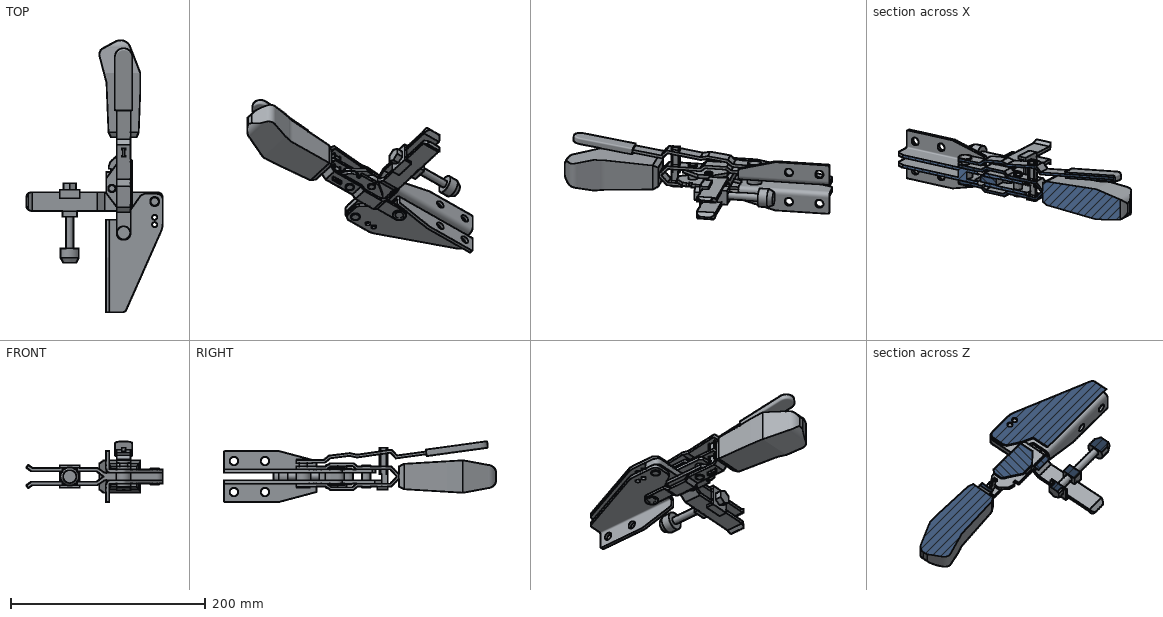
import cadquery as cq
import math


plate_t = 3.6
arm_strap_t = 3.6
plate_outer = arm_strap_t + plate_t
strap_t = 3.0
lever_half_w = 7.3

base_left, base_right = -18.2, 40.5
base_bottom, base_top = -82.0, 40.0
flange_top = 13.7
bend_inner_r = 1.7
flange_short, flange_tall = 16.0, 26.5
corner_r = 6.2
flange_corner_r = 1.7
foot_x, foot_r = 1.7, 4.5
slant_top_y, slant_r = 5.3, 19.5
mount_hole_r, mount_hole_z = 4.2, 16.0
mount_hole_y = (-39.5, -71.5)
spare_hole_r = 2.5
spare_hole_y = (8.5, 16.0)
arm_pin_x, arm_pin_y, arm_pin_r = 32.0, 32.3, 4.8
rivet_head_h, rivet_edge = 1.0, 0.5
handle_pin_r, handle_pin_head_r, spacer_r = 4.2, 6.7, 7.5
lever_seat_z = 15.1

arm_bottom, arm_top = 22.5, 42.0
arm_left = -100.5
fork_inner = 5.3
fork_start, fork_end = -27.5, -20.0
tip_bend_x = -94.5
tip_x, tip_rise = -99.3, 3.5
tip_corner_r = 6.2
lug_r = 5.5

spindle_x, spindle_r = -55.5, 4.0
saddle_half_w, saddle_half_h, saddle_t = 10.5, 11.8, 2.5
saddle_leg_bottom = 35.5
head_flats, head_h = 13.2, 6.7
nut_half_w, nut_half_h, nut_bottom = 7.5, 7.5, 16.5
neck_half_h, neck_top = 5.0, 27.2
tip_r, tip_nose_r = 9.5, 6.7
tip_top, tip_shoulder, tip_end = -16.0, -25.5, -30.9

link_left, link_right, link_bottom = -18.0, 9.0, 27.2
arm_rivet_x, arm_rivet_y, arm_rivet_r = -12.0, 45.7, 4.0
yoke_rivet_y, yoke_rivet_r = 64.8, 4.5

grip_face_y = 98.5
grip_half_h = 16.8
grip_reach = 28.0
yoke_near_z = plate_outer + strap_t / 2
yoke_far_z = 12.3

lever_tail_y, lever_tail_z = 188.2, 32.8
lever_dip_y, lever_dip_z = 96.0, 20.2
sleeve_start_y, sleeve_wall, sleeve_t, sleeve_edge_r = 126.5, 1.7, 7.0, 1.7
latch_back, latch_front, latch_low_front = 87.0, 78.3, 80.5
latch_foot_front = 76.0
latch_top, latch_notch_z, latch_foot_bottom = 29.7, 2.5, -13.5
latch_web_t, latch_bead_w, latch_bead_t = 2.2, 4.2, 1.5


def box(x0, x1, y0, y1, z0, z1):
    return cq.Workplane("XY").box(x1 - x0, y1 - y0, z1 - z0, centered=False).translate((x0, y0, z0))


def near(x, y, z):
    return cq.selectors.NearestToPointSelector((x, y, z))


def z_pin(x, y, r, z0, z1):
    return cq.Workplane("XY", origin=(x, y, z0)).circle(r).extrude(z1 - z0)


def rivet(x, y, r, reach):
    """Rivet with bevelled ends, reaching equally far above and below Z = 0."""
    return z_pin(x, y, r, -reach, reach).faces("<Z or >Z").chamfer(rivet_edge)


def y_pin(r, y0, y1):
    """Cylinder on the spindle axis between two heights."""
    return cq.Workplane("XZ", origin=(spindle_x, y0, 0)).circle(r).extrude(y0 - y1)


def mirror_pair(body):
    """The body together with its mirror image below Z = 0."""
    return body.union(body.mirror("XY"))


def band(points, thickness):
    """Closed outline of a sheet of constant thickness along a centre line."""
    half = thickness / 2
    headings = [math.atan2(b[1] - a[1], b[0] - a[0]) for a, b in zip(points, points[1:])]
    starts = [headings[0]] + headings
    ends = headings + [headings[-1]]
    left, right = [], []
    for (u, v), start, end in zip(points, starts, ends):
        normal = (start + end + math.pi) / 2
        miter = half / math.cos((end - start) / 2)
        left.append((u + miter * math.cos(normal), v + miter * math.sin(normal)))
        right.append((u - miter * math.cos(normal), v - miter * math.sin(normal)))
    return left + right[::-1]


def bent_strap(points):
    """Yoke or lever sheet: a centre line in the YZ plane, as wide as the lever."""
    return cq.Workplane("YZ").polyline(band(points, strap_t)).close().extrude(lever_half_w, both=True)


def round_tongue(y0, y1, half_w, height):
    """Prism along Z whose outline is a slot with round ends at y0 and y1."""
    return (
        cq.Workplane("XY", origin=(0, (y0 + y1) / 2, 0))
        .slot2D(y1 - y0, 2 * half_w, 90)
        .extrude(height, both=True)
    )


def base_plate():
    web = (
        cq.Workplane("XY", origin=(0, 0, arm_strap_t))
        .moveTo(base_left, base_bottom)
        .lineTo(foot_x, base_bottom)
        .lineTo(base_right, slant_top_y)
        .lineTo(base_right, base_top - corner_r)
        .radiusArc((base_right - corner_r, base_top), -corner_r)
        .lineTo(21.3, base_top)
        .lineTo(17.7, 38.5)
        .lineTo(8.0, 25.0)
        .lineTo(2.8, flange_top)
        .lineTo(base_left, flange_top)
        .close()
        .extrude(plate_t)
    )
    web = web.edges(near(foot_x, base_bottom, arm_strap_t + plate_t / 2)).fillet(foot_r)
    web = web.edges(near(base_right, slant_top_y, arm_strap_t + plate_t / 2)).fillet(slant_r)
    flange = (
        cq.Workplane("YZ", origin=(base_left, 0, 0))
        .polyline(
            [
                (base_bottom, arm_strap_t),
                (base_bottom, flange_tall),
                (-25.2, flange_tall),
                (flange_top, flange_short),
                (flange_top, arm_strap_t),
            ]
        )
        .close()
        .extrude(plate_t)
    )
    for y, z in ((base_bottom, flange_tall), (flange_top, flange_short)):
        flange = flange.edges(near(base_left + plate_t / 2, y, z)).fillet(flange_corner_r)
    angle = web.union(flange)
    mid_length = (base_bottom + flange_top) / 2
    angle = angle.edges(near(base_left + plate_t, mid_length, plate_outer)).fillet(bend_inner_r)
    angle = angle.edges("|Y and <X and <Z").fillet(bend_inner_r + plate_t)
    mount_holes = (
        cq.Workplane("YZ", origin=(base_left, 0, 0))
        .pushPoints([(y, mount_hole_z) for y in mount_hole_y])
        .circle(mount_hole_r)
        .extrude(plate_t)
    )
    spare_holes = (
        cq.Workplane("XY", origin=(0, 0, arm_strap_t))
        .pushPoints([(arm_pin_x, y) for y in spare_hole_y])
        .circle(spare_hole_r)
        .extrude(plate_t)
    )
    return angle.cut(mount_holes).cut(spare_holes)


def build_base():
    rivet_end = plate_outer + rivet_head_h
    lever_top = lever_seat_z + strap_t / 2
    yoke_outer = yoke_near_z + strap_t / 2
    return (
        mirror_pair(base_plate())
        .union(rivet(arm_pin_x, arm_pin_y, arm_pin_r, rivet_end))
        .union(z_pin(0, 0, spacer_r, -arm_strap_t, arm_strap_t))
        .union(z_pin(0, 0, handle_pin_r, -yoke_outer, lever_top))
        .union(z_pin(0, 0, handle_pin_head_r, lever_top, lever_top + rivet_head_h))
        .union(z_pin(0, 0, handle_pin_head_r, -yoke_outer - rivet_head_h, -yoke_outer))
    )


def fork_half():
    strap_z = fork_inner + arm_strap_t / 2
    root_z = arm_strap_t / 2
    center_line = [
        (tip_x, strap_z + tip_rise),
        (tip_bend_x, strap_z),
        (fork_start, strap_z),
        (fork_end, root_z),
        (base_right, root_z),
    ]
    strap = (
        cq.Workplane("XZ", origin=(0, arm_bottom, 0))
        .polyline(band(center_line, arm_strap_t))
        .close()
        .extrude(arm_bottom - arm_top)
    )
    reach = strap_z + 2 * tip_rise
    outline = (
        box(arm_left, base_right, arm_bottom, arm_top, -reach, reach)
        .edges("|Z and >X")
        .fillet(corner_r)
        .edges("|Z and <X")
        .fillet(tip_corner_r)
    )
    return strap.intersect(outline)


def build_arm():
    lug = z_pin(arm_rivet_x, arm_rivet_y, lug_r, -arm_strap_t, arm_strap_t)
    lug_foot = box(
        arm_rivet_x - lug_r, arm_rivet_x + lug_r, arm_bottom, arm_rivet_y, -arm_strap_t, arm_strap_t
    )
    return (
        mirror_pair(fork_half())
        .union(lug)
        .union(lug_foot)
        .cut(z_pin(arm_pin_x, arm_pin_y, arm_pin_r, -arm_strap_t, arm_strap_t))
        .cut(z_pin(arm_rivet_x, arm_rivet_y, arm_rivet_r, -arm_strap_t, arm_strap_t))
    )


def build_spindle():
    saddle_top = arm_top + saddle_t
    strap_outer = fork_inner + arm_strap_t
    saddle = box(
        spindle_x - saddle_half_w,
        spindle_x + saddle_half_w,
        saddle_leg_bottom,
        saddle_top,
        -saddle_half_h,
        saddle_half_h,
    ).cut(
        box(
            spindle_x - saddle_half_w,
            spindle_x + saddle_half_w,
            saddle_leg_bottom,
            arm_top,
            -strap_outer,
            strap_outer,
        )
    )
    head = (
        cq.Workplane("XZ", origin=(spindle_x, saddle_top, 0))
        .transformed(rotate=(0, 0, 90))
        .polygon(6, head_flats / math.cos(math.pi / 6))
        .extrude(-head_h)
    )
    nut_left, nut_right = spindle_x - nut_half_w, spindle_x + nut_half_w
    nut = box(nut_left, nut_right, nut_bottom, arm_bottom, -nut_half_h, nut_half_h)
    neck = box(nut_left, nut_right, arm_bottom, neck_top, -neck_half_h, neck_half_h)
    rod = y_pin(spindle_r, tip_top, saddle_top)
    tip = (
        cq.Workplane("XY", origin=(spindle_x, 0, 0))
        .polyline(
            [(0, tip_top), (tip_r, tip_top), (tip_r, tip_shoulder), (tip_nose_r, tip_end), (0, tip_end)]
        )
        .close()
        .revolve(360, (0, 0, 0), (0, 1, 0))
    )
    return saddle.union(head).union(nut).union(neck).union(rod).union(tip)


def link_plate(top_points, z0):
    points = [(-7.5, link_bottom), (link_right, link_bottom)] + top_points + [(link_left, 41.0)]
    return cq.Workplane("XY", origin=(0, 0, z0)).polyline(points).close().extrude(plate_t)


def build_links():
    upper_top = [(link_right, 71.0), (5.5, 74.3), (-4.5, 74.3), (-7.5, 70.0), (link_left, 56.0)]
    hooked_top = [
        (link_right, 73.8),
        (4.2, latch_low_front),
        (-5.5, latch_low_front),
        (-13.7, 73.2),
        (-15.5, 68.5),
        (-15.5, 66.0),
        (-13.2, 66.0),
        (-13.2, 62.8),
        (link_left, 62.8),
    ]
    yoke_rivet_end = yoke_near_z + strap_t / 2 + rivet_head_h
    arm_rivet_end = plate_outer + rivet_head_h
    return (
        link_plate(upper_top, arm_strap_t)
        .union(link_plate(hooked_top, -plate_outer))
        .union(rivet(0, yoke_rivet_y, yoke_rivet_r, yoke_rivet_end))
        .union(rivet(arm_rivet_x, arm_rivet_y, arm_rivet_r, arm_rivet_end))
    )


def build_latch():
    yoke_outer = yoke_near_z + strap_t / 2
    web = (
        cq.Workplane("YZ")
        .polyline(
            [
                (latch_back, latch_top),
                (latch_front, latch_top),
                (latch_front, latch_notch_z),
                (latch_low_front, latch_notch_z),
                (latch_low_front, -yoke_outer),
                (latch_foot_front, -yoke_outer),
                (latch_foot_front, latch_foot_bottom),
                (latch_back, latch_foot_bottom),
            ]
        )
        .close()
        .extrude(latch_web_t / 2, both=True)
    )
    half = latch_bead_w / 2
    for bead_start in (latch_front, latch_back - latch_bead_t):
        bead_end = bead_start + latch_bead_t
        web = web.union(box(-half, half, bead_start, bead_end, latch_notch_z, latch_top))
    return web


def build_yoke():
    overlap = 0.8
    center_line = [
        (grip_face_y + overlap, -overlap),
        (90.0, yoke_near_z),
        (55.3, yoke_near_z),
        (51.0, yoke_far_z),
        (28.3, yoke_far_z),
        (23.5, yoke_near_z),
        (-lever_half_w, yoke_near_z),
    ]
    above_mid_plane = box(
        -lever_half_w, lever_half_w, -lever_half_w, grip_face_y, 0, 2 * yoke_far_z
    )
    outline = round_tongue(-lever_half_w, grip_face_y + lever_half_w, lever_half_w, 2 * yoke_far_z)
    strap = bent_strap(center_line).intersect(above_mid_plane).intersect(outline)
    return (
        mirror_pair(strap)
        .cut(z_pin(0, 0, handle_pin_r, -yoke_far_z, yoke_far_z))
        .cut(z_pin(0, yoke_rivet_y, yoke_rivet_r, -yoke_far_z, yoke_far_z))
    )


def build_grip():
    plan = (
        cq.Workplane("XY")
        .moveTo(13.5, grip_face_y)
        .lineTo(15.7, 103.8)
        .lineTo(17.5, 148.0)
        .lineTo(17.5, 164.5)
        .lineTo(7.3, 190.5)
        .threePointArc((4.0, 195.8), (-1.7, 198.5))
        .lineTo(-6.7, 198.0)
        .lineTo(-21.3, 190.2)
        .threePointArc((-24.7, 186.3), (-24.7, 181.2))
        .lineTo(-18.8, 158.8)
        .threePointArc((-18.0, 156.0), (-17.7, 153.0))
        .lineTo(-15.7, 103.8)
        .lineTo(-13.2, grip_face_y)
        .close()
        .extrude(grip_half_h, both=True)
    )
    side = (
        cq.Workplane("YZ")
        .moveTo(grip_face_y, 0)
        .lineTo(grip_face_y, 10.5)
        .lineTo(103.8, 13.2)
        .lineTo(164.7, grip_half_h)
        .lineTo(190.2, 12.0)
        .threePointArc((196.5, 9.0), (198.5, 5.0))
        .lineTo(198.5, 0)
        .mirrorX()
        .extrude(grip_reach, both=True)
    )
    return plan.intersect(side)


def build_lever():
    tail_slope = (lever_tail_z - lever_dip_z) / (lever_tail_y - lever_dip_y)
    run_out = 2.8
    center_line = [
        (-lever_half_w - run_out, lever_seat_z),
        (21.5, 15.7),
        (27.2, 20.2),
        (47.7, 22.7),
        (55.3, 21.0),
        (90.3, 26.0),
        (lever_dip_y, lever_dip_z),
        (lever_tail_y + run_out, lever_tail_z + run_out * tail_slope),
    ]
    outline = round_tongue(-lever_half_w, lever_tail_y, lever_half_w, 2 * lever_tail_z)
    return bent_strap(center_line).intersect(outline)


def build_sleeve(lever):
    tilt = math.atan2(lever_tail_z - lever_dip_z, lever_tail_y - lever_dip_y)
    half_w = lever_half_w + sleeve_wall
    length = (lever_tail_y + sleeve_wall - sleeve_start_y) / math.cos(tilt)
    body = (
        cq.Workplane("XY", origin=(0, 0, -sleeve_t / 2))
        .moveTo(-half_w, -length)
        .lineTo(half_w, -length)
        .lineTo(half_w, -half_w)
        .threePointArc((0, 0), (-half_w, -half_w))
        .close()
        .extrude(sleeve_t)
        .edges("(>Z or <Z) and (not <Y)")
        .fillet(sleeve_edge_r)
    )
    body = body.rotate((0, 0, 0), (1, 0, 0), math.degrees(tilt))
    end_z = lever_tail_z + sleeve_wall * math.tan(tilt)
    return body.translate((0, lever_tail_y + sleeve_wall, end_z)).cut(lever)


base = build_base()
arm = build_arm()
spindle = build_spindle()
links = build_links()
latch = build_latch()
yoke = build_yoke().cut(latch)
grip = build_grip()
plain_lever = build_lever()
sleeve = build_sleeve(plain_lever)
lever = plain_lever.cut(latch).cut(base)

result = cq.Compound.makeCompound(
    [body.val() for body in (base, arm, spindle, links, latch, yoke, grip, lever, sleeve)]
)